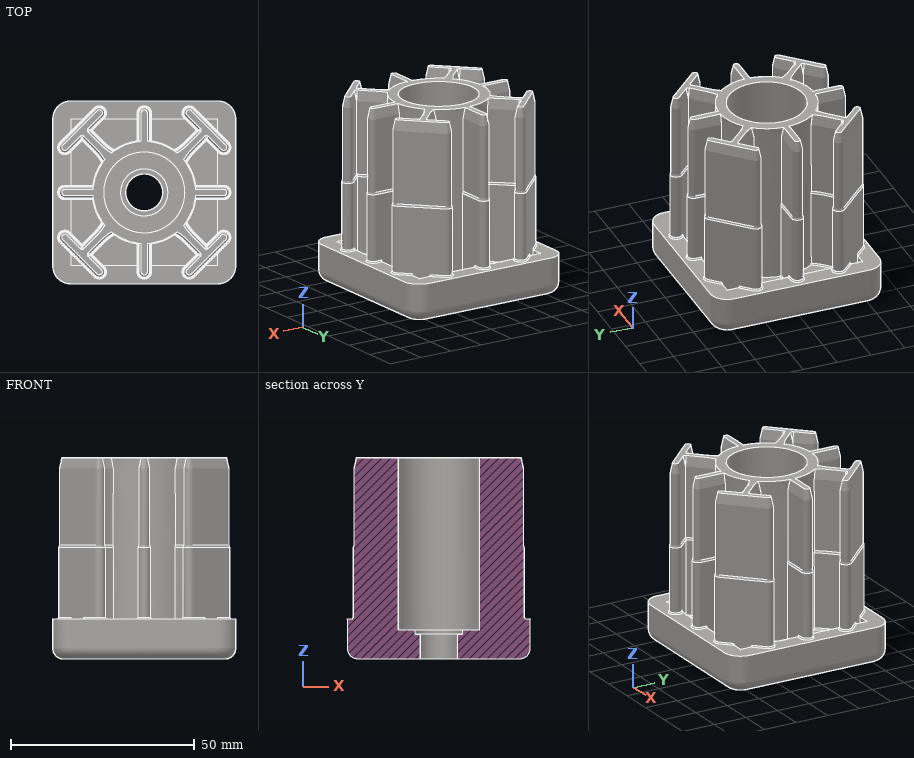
import cadquery as cq
import math

total_height = 55
foot_side = 50.0
foot_height = 11
foot_corner_radius = 5.0
foot_bottom_radius = 3.0
pocket_side = 40.0
pocket_depth = 3.0
pocket_floor = foot_height - pocket_depth

tube_top_radius = 14.0
tube_floor_radius = 14.2
bore_radius = 11.05
recess_radius = 6.45
recess_depth = 1.1
hole_radius = 5.0

fin_half_thickness = 1.5
fin_root = 12.65
end_x = 21.65
end_y = 12.25
bar_distance = (end_x + end_y) / math.sqrt(2)
bar_half_length = (end_x - end_y) / math.sqrt(2)
flare_start = 17.45
flare_radius = 13.2

lead_in_height = 3.0
lead_in_inset = 0.65
shoulder_top = 31.15
shoulder_height = 0.6
shoulder_step = 0.2
fillet_height = 0.45
fillet_spread = 0.3


def rib_profile(growth):
    """Straight rib along +X with a round outer end, thickened all round by growth."""
    half = fin_half_thickness + growth
    return (
        cq.Workplane("XY")
        .moveTo(fin_root, -half)
        .lineTo(end_x, -half)
        .threePointArc((end_x + half, 0), (end_x, half))
        .lineTo(fin_root, half)
        .close()
    )


def tee_profile(growth):
    """T along +X: a stem flaring into the tube and a round-ended cross bar."""
    half = fin_half_thickness + growth
    radius = flare_radius - growth

    def flare_half_width(x):
        return half + radius - math.sqrt(radius**2 - (flare_start - x) ** 2)

    flare_middle = (fin_root + flare_start) / 2
    bar_inner = bar_distance - half
    bar_outer = bar_distance + half
    bar_tip = bar_half_length + half
    return (
        cq.Workplane("XY")
        .moveTo(fin_root, -flare_half_width(fin_root))
        .threePointArc((flare_middle, -flare_half_width(flare_middle)), (flare_start, -half))
        .lineTo(bar_inner, -half)
        .lineTo(bar_inner, -bar_half_length)
        .threePointArc((bar_distance, -bar_tip), (bar_outer, -bar_half_length))
        .lineTo(bar_outer, bar_half_length)
        .threePointArc((bar_distance, bar_tip), (bar_inner, bar_half_length))
        .lineTo(bar_inner, half)
        .lineTo(flare_start, half)
        .threePointArc(
            (flare_middle, flare_half_width(flare_middle)),
            (fin_root, flare_half_width(fin_root)),
        )
        .close()
    )


def layer(profile, bottom, height, inset=0.0):
    """Extrude a profile upward from bottom, drawing its sides in by inset at the top."""
    taper = math.degrees(math.atan2(inset, height))
    return profile.extrude(height, taper=taper).translate((0, 0, bottom))


def fin(profile):
    """One fin from the pocket floor to its tip, thicker below the shoulder."""
    shoulder_bottom = shoulder_top - shoulder_height
    lead_in_bottom = total_height - lead_in_height
    return (
        layer(profile(shoulder_step), pocket_floor, shoulder_bottom - pocket_floor)
        .union(layer(profile(shoulder_step), shoulder_bottom, shoulder_height, shoulder_step))
        .union(layer(profile(0), shoulder_top, lead_in_bottom - shoulder_top))
        .union(layer(profile(0), lead_in_bottom, lead_in_height, lead_in_inset))
    )


def base_strip(profile, bottom):
    """Sloped strip around the base of one fin."""
    return layer(profile(shoulder_step + fillet_spread), bottom, fillet_height, fillet_spread)


def turned(solid, angle):
    return solid.rotate((0, 0, 0), (0, 0, 1), angle)


def square_prism(side, bottom, height):
    return cq.Workplane("XY", origin=(0, 0, bottom)).rect(side, side).extrude(height)


def foot():
    """Square foot with rounded corners, a rounded underside and a square top pocket."""
    block = (
        square_prism(foot_side, 0, foot_height)
        .edges("|Z")
        .fillet(foot_corner_radius)
        .faces("<Z")
        .edges()
        .fillet(foot_bottom_radius)
    )
    return block.cut(square_prism(pocket_side, pocket_floor, pocket_depth))


def tube():
    """Drafted outside of the central tube."""
    return (
        cq.Workplane("XY", origin=(0, 0, pocket_floor))
        .circle(tube_floor_radius)
        .workplane(offset=total_height - pocket_floor)
        .circle(tube_top_radius)
        .loft()
    )


def cylinder(radius, bottom, top):
    return cq.Workplane("XY", origin=(0, 0, bottom)).circle(radius).extrude(top - bottom)


result = foot().union(tube())
pocket_column = square_prism(pocket_side, 0, total_height)
for quarter in range(4):
    for profile, offset_angle in ((rib_profile, 0), (tee_profile, 45)):
        turn = 90 * quarter + offset_angle
        floor_strip = turned(base_strip(profile, pocket_floor), turn).intersect(pocket_column)
        rim_strip = turned(base_strip(profile, foot_height), turn).cut(pocket_column)
        result = result.union(turned(fin(profile), turn)).union(floor_strip).union(rim_strip)

result = (
    result.cut(cylinder(bore_radius, pocket_floor, total_height))
    .cut(cylinder(recess_radius, pocket_floor - recess_depth, pocket_floor))
    .cut(cylinder(hole_radius, 0, pocket_floor))
)